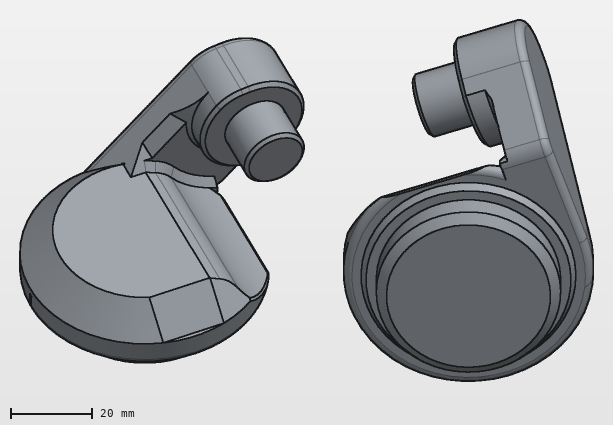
import cadquery as cq
import math

total_depth = 79.0
total_height = 48.99

spigot_tip_radius = 20.0
spigot_radius = 22.5
spigot_chamfer_height = 2.0
collar_z = 8.0
collar_radius = 25.0
collar_top_radius = 26.2
disc_z = 10.0
disc_radius = 30.48
disc_shoulder_z = 17.5
disc_top_z = 25.5
disc_top_radius = disc_radius - (disc_top_z - disc_shoulder_z)
edge_fillet = 2.0

flat_half_width = 8.1
flat_top_x = math.sqrt(disc_top_radius**2 - flat_half_width**2)
flat_bottom_x = math.sqrt(disc_radius**2 - flat_half_width**2)

notch_width = 1.0
notch_depth = 0.3
notch_top_z = 15.4

head_radius = 13.55
head_blend_radius = 11.04
head_face_x = -12.5
head_chamfer = 1.0
axis_y = total_depth - disc_radius - head_radius
axis_z = total_height - head_radius
boss_radius = 14.23
boss_flank_start_x = -18.4
pin_radius = 8.0
pin_end_x = 0.0
pin_chamfer = 0.89

arm_outer_x = -disc_radius
arm_top_inner_x = -22.5
arm_wall_x = -19.4
foot_chamfer = 2.0
foot_x = arm_wall_x + foot_chamfer
arm_angle = math.radians(43.8)
arm_corner_radius = 6.0

relief_radius = 25.0
relief_start_y = 8.0
rim_blend_start_y = 10.6
rim_blend_end_y = 14.7
rim_blend_radius = 11.04
relief_back_y = 27.2
rim_edge_break = 0.5

clearance = 60.0
margin = 1.0

along = (math.cos(arm_angle), math.sin(arm_angle))
across = (-math.sin(arm_angle), math.cos(arm_angle))
pin_axis = (axis_y, axis_z)


def from_axis(a, b):
    """Point (Y, Z) at distance a along the arm and b across it from the pin axis."""
    y = axis_y + a * along[0] + b * across[0]
    z = axis_z + a * along[1] + b * across[1]
    return (y, z)


def on_circle(centre, radius, angle):
    """Point on a circle in the YZ plane."""
    return (centre[0] + radius * math.cos(angle), centre[1] + radius * math.sin(angle))


def yz_plane(x):
    """Workplane facing +X at the given X, with Y to the right and Z up."""
    return cq.Workplane("YZ", origin=(x, 0, 0))


def disc_blank(top_z):
    """Plain disc with a rounded lower rim, reaching up to top_z."""
    blank = cq.Workplane("XY").workplane(offset=disc_z).circle(disc_radius).extrude(top_z - disc_z)
    return blank.faces("<Z").edges().fillet(edge_fillet)


def make_disc():
    """Spigot, collar, disc and cone, with the side flat and the index notch cut."""
    lower = (
        cq.Workplane("XZ")
        .lineTo(spigot_tip_radius, 0)
        .lineTo(spigot_radius, spigot_chamfer_height)
        .lineTo(spigot_radius, collar_z)
        .lineTo(collar_radius, collar_z)
        .lineTo(collar_top_radius, disc_z)
        .lineTo(0, disc_z)
        .close()
        .revolve(360, (0, 0, 0), (0, 1, 0))
    )
    cone = (
        cq.Workplane("XZ")
        .moveTo(0, disc_shoulder_z)
        .lineTo(disc_radius, disc_shoulder_z)
        .lineTo(disc_top_radius, disc_top_z)
        .lineTo(0, disc_top_z)
        .close()
        .revolve(360, (0, 0, 0), (0, 1, 0))
    )
    flat_cut = (
        cq.Workplane("XZ")
        .moveTo(flat_top_x, disc_top_z)
        .lineTo(flat_bottom_x, disc_shoulder_z)
        .lineTo(clearance, disc_shoulder_z)
        .lineTo(clearance, disc_top_z)
        .close()
        .extrude(flat_half_width, both=True)
    )
    notch = (
        cq.Workplane("XY")
        .box(notch_width, 2 * notch_depth, notch_top_z - disc_z, centered=(True, True, False))
        .translate((0, -disc_radius, disc_z))
    )
    return lower.union(disc_blank(disc_shoulder_z)).union(cone.cut(flat_cut)).cut(notch)


def arm_outline(x):
    """Arm side profile: head arc, smaller blend arc into the upper edge, lower edge turned into the base."""
    offset = boss_radius - head_blend_radius
    blend_centre = from_axis(0, offset)
    blend_angle = math.acos((head_radius - head_blend_radius) / offset)
    upper_direction = math.pi / 2 + arm_angle
    blend_start = from_axis(0, boss_radius)
    blend_mid = on_circle(blend_centre, head_blend_radius, upper_direction - blend_angle / 2)
    blend_end = on_circle(blend_centre, head_blend_radius, upper_direction - blend_angle)
    head_start = on_circle(pin_axis, head_radius, upper_direction - blend_angle)

    upper_length = (blend_start[1] - disc_z) / math.tan(arm_angle)
    upper_foot = (blend_start[0] - upper_length, disc_z)

    lower_start = from_axis(0, -head_radius)
    corner_y = lower_start[0] - (lower_start[1] - disc_z) / math.tan(arm_angle)
    setback = arm_corner_radius * math.tan(arm_angle / 2)
    corner_start = (corner_y + setback * along[0], disc_z + setback * along[1])
    corner_end = (corner_y - setback, disc_z)
    corner_centre = (corner_end[0], disc_z + arm_corner_radius)
    corner_mid = on_circle(corner_centre, arm_corner_radius, arm_angle / 2 - math.pi / 2)

    return (
        yz_plane(x)
        .moveTo(*upper_foot)
        .lineTo(*blend_start)
        .threePointArc(blend_mid, blend_end)
        .lineTo(*head_start)
        .threePointArc(from_axis(head_radius, 0), lower_start)
        .lineTo(*corner_start)
        .threePointArc(corner_mid, corner_end)
        .close()
    )


def make_arm():
    """Slab with a rounded outer edge, a bevelled inner upper edge and a sloped foot on the disc."""
    slab = arm_outline(arm_outer_x).extrude(foot_x - arm_outer_x)
    arm = slab.faces("<X").edges().fillet(edge_fillet)

    bevel = foot_x - arm_top_inner_x
    upper_plane = cq.Plane(
        origin=(arm_top_inner_x, *from_axis(0, boss_radius)),
        xDir=(1, 0, 0),
        normal=(0, -along[0], -along[1]),
    )
    bevel_cut = (
        cq.Workplane(upper_plane)
        .polyline([(0, 0), (bevel, 0), (bevel, -bevel)])
        .close()
        .extrude(clearance, both=True)
    )
    foot = (
        cq.Workplane("XZ")
        .polyline([(arm_top_inner_x, disc_top_z), (foot_x, disc_top_z), (arm_top_inner_x, disc_top_z + bevel)])
        .close()
        .extrude(-rim_blend_start_y)
        .intersect(slab)
    )
    behind_centre = cq.Workplane("XY").box(
        2 * clearance, clearance, 2 * clearance, centered=(True, False, True)
    )
    envelope = disc_blank(clearance).union(behind_centre)
    return arm.cut(bevel_cut).union(foot).intersect(envelope)


def make_relief():
    """Cutting body above the back of the disc, chamfered along the foot of the arm."""
    entry_angle = -math.acos((rim_blend_end_y - axis_y) / relief_radius)
    rim_end = on_circle(pin_axis, relief_radius, entry_angle)
    rim_centre = on_circle(pin_axis, relief_radius + rim_blend_radius, entry_angle)
    rim_start_angle = math.acos((rim_blend_start_y - rim_centre[0]) / rim_blend_radius)
    rim_end_angle = math.pi + entry_angle
    rim_start = on_circle(rim_centre, rim_blend_radius, rim_start_angle)
    rim_mid = on_circle(rim_centre, rim_blend_radius, (rim_start_angle + rim_end_angle) / 2)

    exit_angle = -math.acos((relief_back_y - axis_y) / relief_radius)
    relief_end = on_circle(pin_axis, relief_radius, exit_angle)
    relief_mid = on_circle(pin_axis, relief_radius, (entry_angle + exit_angle) / 2)

    body = (
        yz_plane(arm_wall_x)
        .moveTo(0, disc_top_z)
        .lineTo(relief_start_y, disc_top_z)
        .lineTo(*rim_start)
        .threePointArc(rim_mid, rim_end)
        .threePointArc(relief_mid, relief_end)
        .lineTo(relief_back_y, 0)
        .lineTo(clearance, 0)
        .lineTo(clearance, clearance)
        .lineTo(0, clearance)
        .close()
        .extrude(clearance)
    )
    floor_edges = cq.selectors.BoxSelector(
        (arm_wall_x - margin, margin, relief_end[1] - margin),
        (arm_wall_x + margin, relief_back_y - margin, disc_top_z + margin),
    )
    return body.edges(floor_edges).chamfer(foot_chamfer)


def break_rim_edge(disc):
    """Small chamfer where the relief runs out through the back of the disc rim."""
    rim_edges = cq.selectors.BoxSelector(
        (-margin, rim_blend_end_y, disc_z + edge_fillet / 2),
        (disc_radius, relief_back_y + margin, disc_shoulder_z - margin),
    )
    return disc.edges(rim_edges).chamfer(rim_edge_break)


def make_boss():
    """Round boss on the inner side of the head, with a 45 degree flank, trimmed to the arm outline."""
    flank = boss_flank_start_x - arm_top_inner_x
    boss = (
        cq.Workplane("XY")
        .moveTo(arm_top_inner_x, 0)
        .lineTo(arm_top_inner_x, boss_radius + flank)
        .lineTo(boss_flank_start_x, boss_radius)
        .lineTo(head_face_x - head_chamfer, boss_radius)
        .lineTo(head_face_x, boss_radius - head_chamfer)
        .lineTo(head_face_x, 0)
        .close()
        .revolve(360, (0, 0, 0), (1, 0, 0))
        .translate((0, axis_y, axis_z))
    )
    outline = arm_outline(arm_top_inner_x).extrude(head_face_x - arm_top_inner_x)
    outline = outline.faces(">X").edges().chamfer(head_chamfer)
    return boss.intersect(outline)


def make_pin():
    """Plain pin standing on the head face, with a chamfered end."""
    pin = yz_plane(head_face_x).center(axis_y, axis_z).circle(pin_radius).extrude(pin_end_x - head_face_x)
    return pin.faces(">X").edges().chamfer(pin_chamfer)


relief = make_relief()
disc = break_rim_edge(make_disc().cut(relief))
arm = make_arm().cut(relief)
result = disc.union(arm).union(make_boss()).union(make_pin())